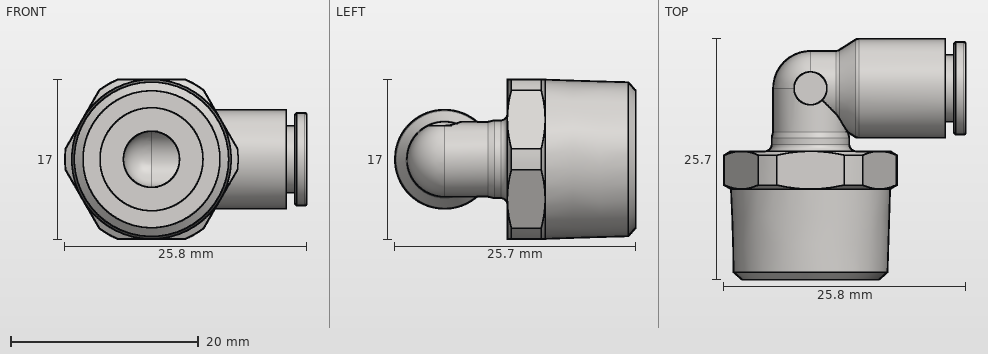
import cadquery as cq
import math


overall_length_x = 25.8

hex_sides = 6
hex_across_flats = 17.0
hex_corner_radius = 9.24
hex_back_y = -6.7
hex_front_y = -10.73
hex_chamfer_angle = 30

thread_end_y = -20.4
thread_start_radius = hex_across_flats / 2
taper_ratio = 1 / 16
end_chamfer_length = 0.83
end_face_radius = 7.3

elbow_radius = 4.0
collar_radius = 4.15
collar_cone_y = -4.62
collar_start_y = -5.3
stem_flare_radius = 0.72

shell_radius = 5.3
shell_end_x = 14.37
shoulder_start_x = 2.92
shoulder_end_x = 4.93
shoulder_blend_radius = 0.7

neck_radius = 3.59
ring_radius = 4.95
ring_start_x = 15.25
ring_end_x = overall_length_x - hex_corner_radius
ring_inner_chamfer = 0.23
ring_outer_round = 0.25

bore_radius = 3.0
counterbore_radius = 5.5

recess_radius = 1.75
recess_floor_z = 3.59


def turned_on_y(points):
    """Revolve a closed (radius, y) outline about the Y axis."""
    return cq.Workplane("XY").polyline(points).close().revolve(360, (0, 0), (0, 1))


def cylinder_on_x(radius, start_x, end_x):
    return cq.Workplane("YZ").workplane(offset=start_x).circle(radius).extrude(end_x - start_x)


def cylinder_on_y(radius, front_y, back_y):
    return cq.Workplane("XZ").workplane(offset=-back_y).circle(radius).extrude(back_y - front_y)


def make_hexagon():
    flat_radius = hex_across_flats / 2
    corner_diameter = hex_across_flats / math.cos(math.pi / hex_sides)
    chamfer_length = (hex_corner_radius - flat_radius) * math.tan(math.radians(hex_chamfer_angle))
    prism = (
        cq.Workplane("XZ")
        .workplane(offset=-hex_back_y)
        .polygon(hex_sides, corner_diameter)
        .extrude(hex_back_y - hex_front_y)
    )
    turned_blank = turned_on_y([
        (0, hex_back_y),
        (flat_radius, hex_back_y),
        (hex_corner_radius, hex_back_y - chamfer_length),
        (hex_corner_radius, hex_front_y + chamfer_length),
        (flat_radius, hex_front_y),
        (0, hex_front_y),
    ])
    return prism.intersect(turned_blank)


def make_thread_body():
    chamfer_y = thread_end_y + end_chamfer_length
    taper_length = hex_front_y - chamfer_y
    chamfer_radius = thread_start_radius - taper_length * taper_ratio / 2
    return turned_on_y([
        (0, hex_front_y),
        (thread_start_radius, hex_front_y),
        (chamfer_radius, chamfer_y),
        (end_face_radius, thread_end_y),
        (0, thread_end_y),
    ])


def make_stem():
    flare_start_y = hex_back_y + stem_flare_radius
    flare_mid_offset = stem_flare_radius * (1 - math.sqrt(0.5))
    return (
        cq.Workplane("XY")
        .lineTo(elbow_radius, 0)
        .lineTo(elbow_radius, collar_cone_y)
        .lineTo(collar_radius, collar_start_y)
        .lineTo(collar_radius, flare_start_y)
        .threePointArc(
            (collar_radius + flare_mid_offset, hex_back_y + flare_mid_offset),
            (collar_radius + stem_flare_radius, hex_back_y),
        )
        .lineTo(0, hex_back_y)
        .close()
        .revolve(360, (0, 0), (0, 1))
    )


def make_branch():
    shell = (
        cq.Workplane("XY")
        .lineTo(0, elbow_radius)
        .lineTo(shoulder_start_x, elbow_radius)
        .lineTo(shoulder_end_x, shell_radius)
        .lineTo(shell_end_x, shell_radius)
        .lineTo(shell_end_x, 0)
        .close()
        .revolve(360, (0, 0), (1, 0))
    )
    margin = 0.25
    box_radius = shell_radius + margin
    shoulder_box = cq.selectors.BoxSelector(
        (shoulder_start_x - margin, -box_radius, -box_radius),
        (shoulder_end_x + margin, box_radius, box_radius),
    )
    return shell.edges("%CIRCLE").edges(shoulder_box).fillet(shoulder_blend_radius)


def make_release_ring():
    neck = cylinder_on_x(neck_radius, shell_end_x, ring_start_x)
    ring = (
        cylinder_on_x(ring_radius, ring_start_x, ring_end_x)
        .faces("<X").edges().chamfer(ring_inner_chamfer)
        .faces(">X").edges().fillet(ring_outer_round)
    )
    return neck.union(ring)


def cut_passages(body):
    stem_bore = cylinder_on_y(bore_radius, thread_end_y, 0)
    branch_bore = cylinder_on_x(bore_radius, 0, ring_end_x)
    bore_corner = cq.Workplane("XY").sphere(bore_radius)
    counterbore = cylinder_on_y(counterbore_radius, thread_end_y, hex_front_y)
    return body.cut(stem_bore).cut(branch_bore).cut(bore_corner).cut(counterbore)


def cut_recess(body):
    cutter = (
        cq.Workplane("XY")
        .workplane(offset=recess_floor_z)
        .circle(recess_radius)
        .extrude(elbow_radius - recess_floor_z)
    )
    return body.cut(cutter)


body = (
    make_hexagon()
    .union(make_thread_body())
    .union(make_stem())
    .union(cq.Workplane("XY").sphere(elbow_radius))
    .union(make_branch())
    .union(make_release_ring())
)
result = cut_recess(cut_passages(body))